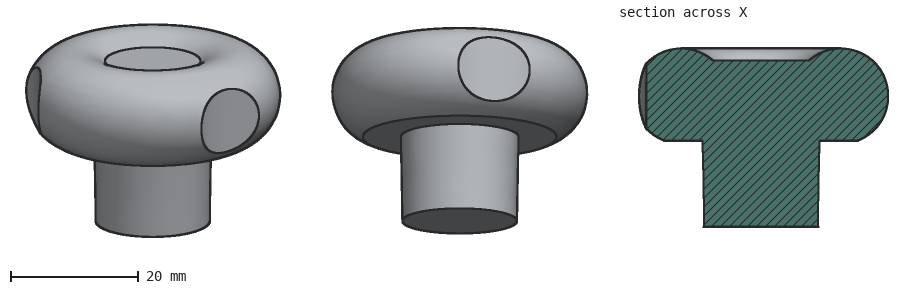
import cadquery as cq
import math

head_diameter = 40.0
ring_radius = 7.5
dish_radius = 7.5
total_height = 28.0
stem_height = 13.5
stem_base_diameter = 18.0
stem_draft_angle = 1.0
grip_count = 3
grip_radius = 15.5
grip_edge_reach = 19.13
first_grip_angle = 90.0

head_radius = head_diameter / 2
ring_center_radius = head_radius - ring_radius
ring_center_z = total_height - ring_radius
dish_z = ring_center_z + math.sqrt(ring_radius**2 - (ring_center_radius - dish_radius) ** 2)
underside_drop = ring_center_z - stem_height
underside_radius = ring_center_radius + math.sqrt(ring_radius**2 - underside_drop**2)


def make_head():
    """Ring-shaped head with a flat underside and a dished top."""
    profile = (
        cq.Workplane("XZ")
        .moveTo(0, stem_height)
        .lineTo(underside_radius, stem_height)
        .threePointArc((ring_center_radius, total_height), (dish_radius, dish_z))
        .lineTo(0, dish_z)
        .close()
    )
    return profile.revolve(360, (0, 0, 0), (0, 1, 0))


def make_stem():
    """Slightly tapered solid stem, wider where it meets the head."""
    base_radius = stem_base_diameter / 2
    top_radius = base_radius + stem_height * math.tan(math.radians(stem_draft_angle))
    profile = (
        cq.Workplane("XZ")
        .lineTo(base_radius, 0)
        .lineTo(top_radius, stem_height)
        .lineTo(0, stem_height)
        .close()
    )
    return profile.revolve(360, (0, 0, 0), (0, 1, 0))


def make_grips():
    """Vertical cylinders that scoop the finger grips out of the rim."""
    half_chord = math.sqrt(head_radius**2 - grip_edge_reach**2)
    center_distance = grip_edge_reach + math.sqrt(grip_radius**2 - half_chord**2)
    return (
        cq.Workplane("XY")
        .workplane(offset=stem_height)
        .polarArray(center_distance, first_grip_angle, 360, grip_count)
        .circle(grip_radius)
        .extrude(total_height - stem_height)
    )


result = make_head().union(make_stem()).cut(make_grips())